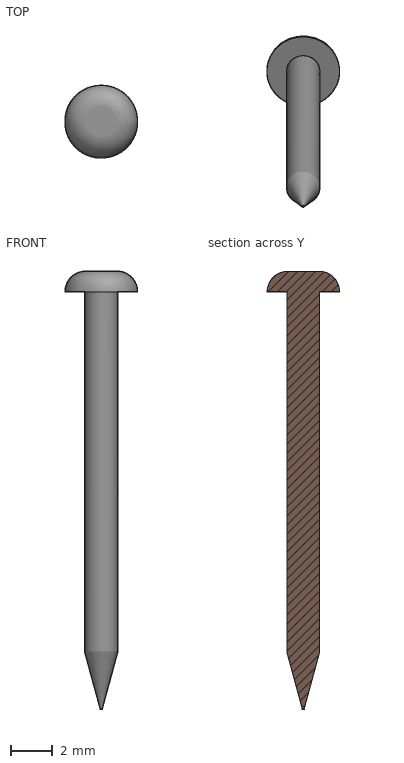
import cadquery as cq
import math

head_diameter = 3.5
head_height = 1.0
shank_diameter = 1.6
overall_length = 21.0
point_length = 2.75
tip_diameter = 0.1

head_radius = head_diameter / 2
shank_radius = shank_diameter / 2
tip_radius = tip_diameter / 2
crown_radius = head_radius - head_height
tip_z = head_height - overall_length
point_base_z = tip_z + point_length
arc_mid_offset = head_height * math.sqrt(0.5)


def make_nail():
    """Revolve the half profile (radius, height) about the Z axis."""
    profile = (
        cq.Workplane("XZ")
        .moveTo(0, tip_z)
        .lineTo(tip_radius, tip_z)
        .lineTo(shank_radius, point_base_z)
        .lineTo(shank_radius, 0)
        .lineTo(head_radius, 0)
        .threePointArc(
            (crown_radius + arc_mid_offset, arc_mid_offset),
            (crown_radius, head_height),
        )
        .lineTo(0, head_height)
        .close()
    )
    return profile.revolve(360, (0, 0, 0), (0, 1, 0))


result = make_nail()